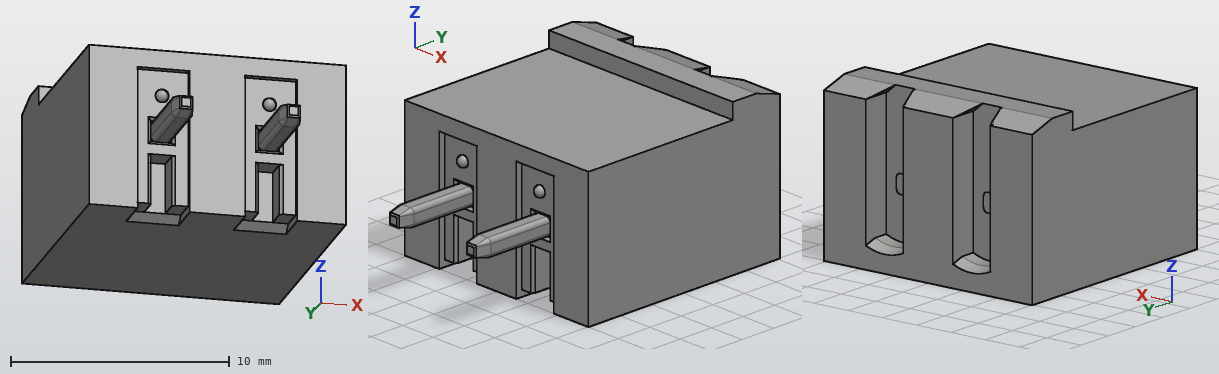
import cadquery as cq
import math


overall_length = 16.25
housing_width = 12.15
housing_depth = 12.15
body_height = 7.67
overall_height = 8.56
latch_depth = 3.0
latch_slope_run = latch_depth / 2
latch_slope_drop = 0.45

pole_pitch = 5.09
pole_positions = [-pole_pitch / 2, pole_pitch / 2]
pin_height = 3.9

pin_size = 0.99
pin_edge_radius = 0.25
pin_taper_length = 0.81
pin_tip_size = 0.62
pin_tip_edge_radius = 0.04
pin_end_size = 0.42
pin_end_length = 0.06
pin_reach = overall_length - housing_depth

recess_width = 2.47
recess_height = 6.8
recess_depth = 0.34
mouth_chamfer = 0.15
mouth_size = pin_size + 2 * mouth_chamfer
groove_top = 2.76
groove_depth = 1.3

foot_slot_height = 0.37
foot_ramp_run = 0.42
foot_slot_depth = recess_depth + groove_depth

bump_radius = 0.31
bump_height = 5.59

pocket_width = 2.18
pocket_depth = latch_slope_run
pocket_top_width = 1.07
pocket_shoulder_width = 1.98
pocket_shoulder_height = 8.17
pocket_wall_top = 8.11
pocket_floor = 1.14
pocket_floor_radius = 2.6
lead_in_depth = 0.7
lead_in_drop = 0.21

pocket_end = housing_depth - pocket_depth


def make_block():
    """Housing block with the raised, sloped latch rib along its +Y edge."""
    rib_start = housing_depth - latch_depth
    slope_start = housing_depth - latch_slope_run
    side_profile = [
        (0, 0),
        (housing_depth, 0),
        (housing_depth, overall_height - latch_slope_drop),
        (slope_start, overall_height),
        (rib_start, overall_height),
        (rib_start, body_height),
        (0, body_height),
    ]
    return (
        cq.Workplane("YZ", origin=(-housing_width / 2, 0, 0))
        .polyline(side_profile)
        .close()
        .extrude(housing_width)
    )


def make_recess(x):
    """Shallow recess in the pin face, open at the bottom."""
    return (
        cq.Workplane("XY", origin=(x, 0, 0))
        .rect(recess_width, 2 * recess_depth)
        .extrude(recess_height)
    )


def make_bump(x):
    """Half-round bump standing on the recess floor."""
    return cq.Workplane("XY", origin=(x, recess_depth, bump_height)).sphere(bump_radius)


def make_pin_hole(x):
    """Square hole with the rounded section of the pin and a flared mouth."""
    hole = make_pin_bar(x, recess_depth, pocket_end)
    mouth = (
        cq.Workplane("XZ", origin=(x, recess_depth, pin_height))
        .rect(mouth_size, mouth_size)
        .workplane(offset=-mouth_chamfer)
        .rect(pin_size, pin_size)
        .loft(ruled=True)
    )
    return hole.union(mouth)


def make_groove(x):
    """Vertical groove below the pin hole, with chamfered mouth edges."""
    half_mouth = mouth_size / 2
    half_groove = pin_size / 2
    back = recess_depth + groove_depth
    shoulder = recess_depth + mouth_chamfer
    return (
        cq.Workplane("XY", origin=(x, 0, 0))
        .polyline([
            (-half_mouth, recess_depth),
            (half_mouth, recess_depth),
            (half_groove, shoulder),
            (half_groove, back),
            (-half_groove, back),
            (-half_groove, shoulder),
        ])
        .close()
        .extrude(groove_top)
    )


def make_foot_slot(x):
    """Slot in the underside that ends in a ramp."""
    return (
        cq.Workplane("YZ", origin=(x - recess_width / 2, 0, 0))
        .polyline([
            (0, 0),
            (foot_slot_depth + foot_ramp_run, 0),
            (foot_slot_depth, foot_slot_height),
            (0, foot_slot_height),
        ])
        .close()
        .extrude(recess_width)
    )


def make_pocket_section(x, y, floor):
    """Outline of the mating pocket: arched floor, upright sides, narrowed top."""
    half_width = pocket_width / 2
    half_shoulder = pocket_shoulder_width / 2
    half_top = pocket_top_width / 2
    arc_rise = pocket_floor_radius - math.sqrt(pocket_floor_radius**2 - half_width**2)
    return (
        cq.Workplane("XZ", origin=(x, y, 0))
        .moveTo(-half_width, floor + arc_rise)
        .threePointArc((0, floor), (half_width, floor + arc_rise))
        .lineTo(half_width, pocket_wall_top)
        .lineTo(half_shoulder, pocket_shoulder_height)
        .lineTo(half_top, overall_height)
        .lineTo(-half_top, overall_height)
        .lineTo(-half_shoulder, pocket_shoulder_height)
        .lineTo(-half_width, pocket_wall_top)
        .close()
    )


def make_pocket(x):
    """Mating pocket whose floor drops toward its opening."""
    straight = make_pocket_section(x, pocket_end, pocket_floor).extrude(-pocket_depth)
    inner = make_pocket_section(x, housing_depth - lead_in_depth, pocket_floor)
    outer = make_pocket_section(x, housing_depth, pocket_floor - lead_in_drop)
    sections = [inner.wires().val(), outer.wires().val()]
    lead_in = cq.Workplane(cq.Solid.makeLoft(sections, True))
    return straight.union(lead_in)


def make_pin_bar(x, start, end):
    """Straight length of pin with rounded long edges."""
    return (
        cq.Workplane("XZ", origin=(x, start, pin_height))
        .rect(pin_size, pin_size)
        .extrude(start - end)
        .edges("|Y")
        .fillet(pin_edge_radius)
    )


def make_pin_section(size, edge_radius, distance):
    """Rounded square section at a distance along the pin."""
    section = cq.Sketch().rect(size, size).vertices().fillet(edge_radius)
    return section.moved(cq.Location(cq.Vector(0, 0, distance)))


def make_pin(x):
    """Pin from the pocket to its tapered tip, with a bevelled end."""
    taper_start = pin_taper_length - pin_reach
    base = make_pin_section(pin_size, pin_edge_radius, 0)
    tip = make_pin_section(pin_tip_size, pin_tip_edge_radius, pin_taper_length - pin_end_length)
    end = make_pin_section(pin_end_size, pin_tip_edge_radius, pin_taper_length)
    taper = (
        cq.Workplane("XZ", origin=(x, taper_start, pin_height))
        .placeSketch(base, tip, end)
        .loft(ruled=True)
    )
    return make_pin_bar(x, taper_start, pocket_end).union(taper)


def make_housing():
    housing = make_block()
    for x in pole_positions:
        housing = housing.cut(make_recess(x))
        housing = housing.union(make_bump(x))
        housing = housing.cut(make_pin_hole(x))
        housing = housing.cut(make_groove(x))
        housing = housing.cut(make_foot_slot(x))
        housing = housing.cut(make_pocket(x))
    return housing


housing = make_housing()
pins = [make_pin(x) for x in pole_positions]

result = cq.Compound.makeCompound([housing.val(), *[pin.val() for pin in pins]])